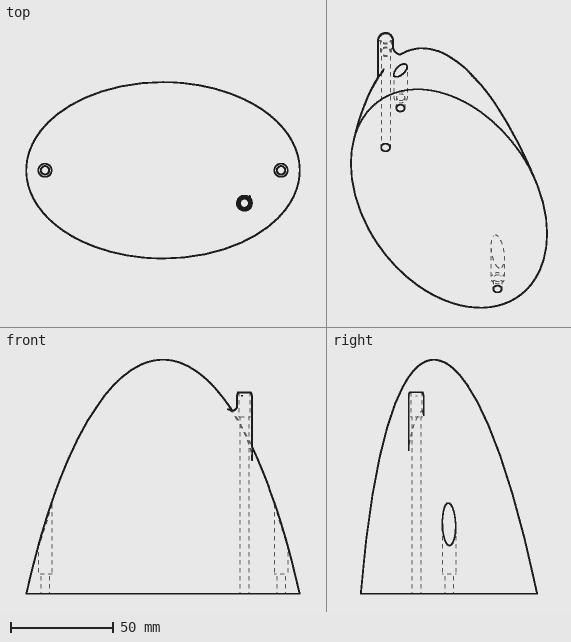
import cadquery as cq
import math

body_length_x = 134.09
body_width_y = 86.52
body_height = 114.79
apex_offset_y = -7.4
profile_semi_height = 310.0

mount_hole_x = 57.8
mount_hole_diameter = 4.0
counterbore_diameter = 6.5
counterbore_floor_z = 10.0

spout_x = 39.9
spout_y = -16.1
spout_top_z = 98.8
spout_root_z = 50.0
spout_diameter = 7.4
spout_blend_radius = 3.0
spout_tip_height = 1.6
spout_tip_inset = 0.5
bore_diameter = 4.4
mouth_diameter = 5.4
mouth_depth = 12.0


def make_body():
    """Two half caps joined at X = 0; the seam between them is kept."""
    radius = profile_semi_height
    cap_base_z = radius - body_height
    cap_base_radius = math.sqrt(radius**2 - cap_base_z**2)
    cap_angle = math.degrees(math.asin(cap_base_z / radius))
    half_cap = cq.Solid.makeSphere(radius, angleDegrees1=cap_angle, angleDegrees2=90, angleDegrees3=180)
    half_cap = half_cap.translate(cq.Vector(0, 0, -cap_base_z))
    stretch_and_lean = cq.Matrix([
        [body_length_x / 2 / cap_base_radius, 0, 0, 0],
        [0, body_width_y / 2 / cap_base_radius, apex_offset_y / body_height, 0],
        [0, 0, 1, 0],
    ])

    def half_body(turn):
        turned = half_cap.rotate(cq.Vector(0, 0, 0), cq.Vector(0, 0, 1), turn)
        return cq.Workplane(obj=turned.transformGeometry(stretch_and_lean))

    return half_body(-90).union(half_body(90), clean=False)


def vertical_cylinder(x, y, diameter, bottom_z, top_z):
    plane = cq.Workplane("XY", origin=(x, y, bottom_z))
    return plane.circle(diameter / 2).extrude(top_z - bottom_z)


def add_spout(body):
    tube = vertical_cylinder(spout_x, spout_y, spout_diameter, spout_root_z, spout_top_z)
    tube = tube.faces(">Z").edges().chamfer(spout_tip_height, spout_tip_inset)
    joined = body.union(tube, clean=False)
    around_tube = cq.selectors.BoxSelector(
        (spout_x - spout_diameter, spout_y - spout_diameter, spout_root_z),
        (spout_x + spout_diameter, spout_y + spout_diameter, spout_top_z),
        boundingbox=True,
    )
    root_edge = joined.edges(around_tube).edges("not(%LINE or %CIRCLE)")
    return root_edge.fillet(spout_blend_radius)


def cut_spout_bore(part):
    bore = vertical_cylinder(spout_x, spout_y, bore_diameter, 0, spout_top_z)
    mouth_floor_z = spout_top_z - mouth_depth
    mouth = vertical_cylinder(spout_x, spout_y, mouth_diameter, mouth_floor_z, spout_top_z)
    return part.cut(bore, clean=False).cut(mouth, clean=False)


def cut_mount_hole(part, x):
    hole = vertical_cylinder(x, 0, mount_hole_diameter, 0, body_height)
    counterbore = vertical_cylinder(x, 0, counterbore_diameter, counterbore_floor_z, body_height)
    return part.cut(hole, clean=False).cut(counterbore, clean=False)


result = add_spout(make_body())
result = cut_spout_bore(result)
for side in (-1, 1):
    result = cut_mount_hole(result, side * mount_hole_x)
result = result.solids()